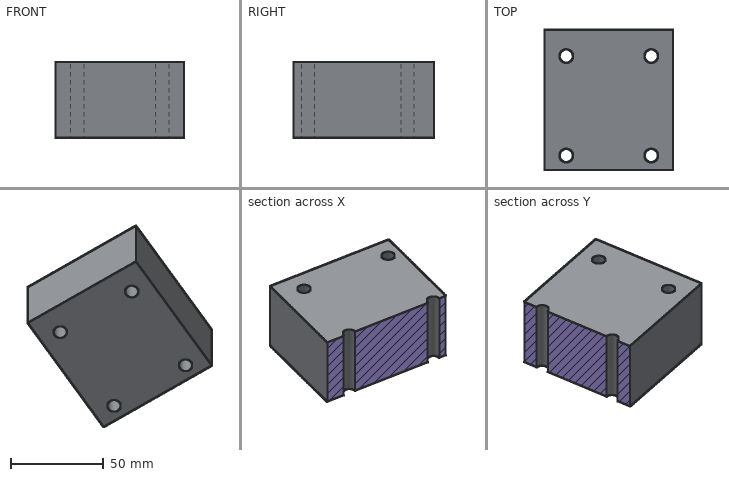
import cadquery as cq

width = 69.9
length = 76.2
height = 41.3

hole_diameter = 7.2
hole_spacing_x = 46.1
hole_spacing_y = 53.95
front_margin = 7.9

pattern_centre_y = -length / 2 + front_margin + hole_spacing_y / 2


def make_block():
    """Plain rectangular block centred on the origin."""
    return cq.Workplane("XY").box(width, length, height)


def drill_holes(block):
    """Rectangular pattern of holes drilled right through from the top face."""
    return (
        block.faces(">Z")
        .workplane(origin=(0, pattern_centre_y, 0))
        .rarray(hole_spacing_x, hole_spacing_y, 2, 2)
        .hole(hole_diameter)
    )


result = drill_holes(make_block())